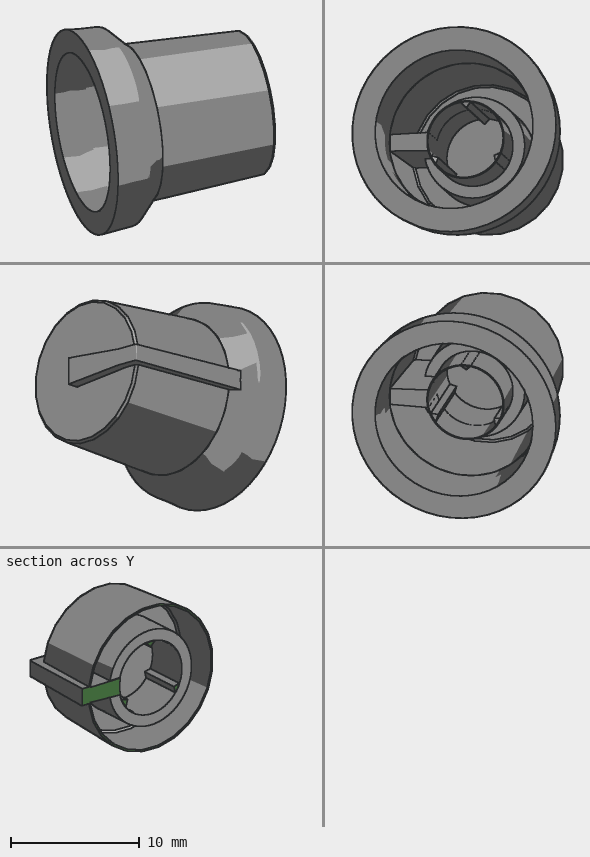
import cadquery as cq
import math


skirt_radius = 8.1
skirt_draft = math.radians(5)
skirt_corner_y = 2.7
skirt_corner_radius = skirt_radius - skirt_corner_y * math.tan(skirt_draft)
skirt_fillet = 0.4
corner_search = 0.1

flat_count = 24
body_start = 4.39
body_end = 13.94
body_apothem_start = 6.2
body_apothem_end = 5.65
body_cone_start = 6.235
body_edge_chamfer = 0.18
body_slope = (body_apothem_start - body_apothem_end) / (body_end - body_start)

mouth_radius = 6.27
mouth_depth = 2.48
throat_radius = 6.05
flutes_start = 4.25
floor_y = 11.2
wall = 0.185
cavity_cone_start = 6.045
floor_chamfer = 0.15
cavity_apothem_start = body_apothem_start - wall
cavity_apothem_floor = cavity_apothem_start - body_slope * (floor_y - flutes_start)

socket_start = 4.2
socket_end = floor_y
socket_outer_radius = 3.06
socket_bore_radius = 2.99
collar_radius = 3.99
collar_start = 7.5
key_angles = (90, 210, 330)
key_root_radius = 3.0
key_tip_radius = 2.57
key_start = 4.22
key_lead_in = 0.28

pointer_foot_x = -6.83
pointer_foot_y = 3.72
pointer_tip_x = -6.35
pointer_tip_y = 14.71
pointer_back_x = 0.85
pointer_top = 14.92
pointer_back_foot_x = 0.91
pointer_tip_fillet = 0.2
bar_half_width_foot = 0.77
bar_half_width_top = 0.65
arrow_start_x = -4.5
arrow_half_width = 1.07

web_outer_x = -6.0
web_inner_x = -2.7
web_outer_half_width = 0.65
web_inner_half_width = 0.73
web_slope = (pointer_top - pointer_tip_y) / (pointer_back_x - pointer_tip_x)


def cylinder(radius, start, end):
    return cq.Workplane("XZ", origin=(0, start, 0)).circle(radius).extrude(start - end)


def frustum(start_radius, start, end_radius, end):
    outline = [(0, start), (start_radius, start), (end_radius, end), (0, end)]
    return cq.Workplane("XY").polyline(outline).close().revolve(360, (0, 0, 0), (0, 1, 0))


def flat_sided_frustum(start_apothem, start, end_apothem, end):
    """Tapered regular prism along Y with one flat facing each of +X, -X, +Z and -Z."""
    half_pitch = 180 / flat_count
    corner_factor = 1 / math.cos(math.radians(half_pitch))
    prism = (
        cq.Workplane("XZ", origin=(0, start, 0))
        .polygon(flat_count, 2 * start_apothem * corner_factor)
        .workplane(offset=start - end)
        .polygon(flat_count, 2 * end_apothem * corner_factor)
        .loft(ruled=True)
    )
    return prism.rotate((0, 0, 0), (0, 1, 0), half_pitch)


def fluted_frustum(start_apothem, start_cone, start, end_apothem, end, chamfer):
    """Flat-sided frustum with cone-trimmed corners and a chamfered far end."""
    end_cone = end_apothem / math.cos(math.pi / flat_count)
    flats = flat_sided_frustum(start_apothem, start, end_apothem, end)
    rim_apothem = end_apothem - chamfer
    shoulder = flat_sided_frustum(rim_apothem + end - start, start, rim_apothem, end)
    cone = frustum(start_cone, start, end_cone, end)
    return flats.intersect(shoulder).intersect(cone)


def make_skirt():
    outline = [
        (0, 0),
        (skirt_radius, 0),
        (skirt_corner_radius, skirt_corner_y),
        (body_apothem_start, body_start),
        (0, body_start),
    ]
    skirt = cq.Workplane("XY").polyline(outline).close().revolve(360, (0, 0, 0), (0, 1, 0))
    corner = cq.selectors.BoxSelector(
        (-skirt_radius, skirt_corner_y - corner_search, -skirt_radius),
        (skirt_radius, skirt_corner_y + corner_search, skirt_radius),
    )
    return skirt.edges(corner).fillet(skirt_fillet)


def make_pointer():
    side = (
        cq.Workplane("XY", origin=(0, 0, -arrow_half_width))
        .moveTo(pointer_foot_x, pointer_foot_y)
        .lineTo(pointer_tip_x, pointer_tip_y)
        .lineTo(pointer_back_x, pointer_top)
        .lineTo(pointer_back_foot_x, body_end)
        .lineTo(pointer_back_foot_x, pointer_foot_y)
        .close()
        .extrude(2 * arrow_half_width)
    )
    tip = cq.selectors.NearestToPointSelector((pointer_tip_x, pointer_tip_y, 0))
    side = side.edges("|Z").edges(tip).fillet(pointer_tip_fillet)

    bar_length = abs(pointer_foot_x)
    bar = (
        cq.Workplane("XZ", origin=(-bar_length / 2, pointer_foot_y, 0))
        .rect(bar_length, 2 * bar_half_width_foot)
        .workplane(offset=pointer_foot_y - pointer_top)
        .rect(bar_length, 2 * bar_half_width_top)
        .loft(ruled=True)
    )
    arrow = (
        cq.Workplane("XZ", origin=(0, floor_y, 0))
        .moveTo(arrow_start_x, bar_half_width_top)
        .lineTo(pointer_back_foot_x, arrow_half_width)
        .lineTo(pointer_back_foot_x, -arrow_half_width)
        .lineTo(arrow_start_x, -bar_half_width_top)
        .close()
        .extrude(floor_y - pointer_top)
    )
    return bar.union(arrow).intersect(side)


def make_cavity():
    mouth = frustum(mouth_radius, 0, throat_radius, mouth_depth)
    throat = cylinder(throat_radius, mouth_depth, flutes_start)
    flutes = fluted_frustum(
        cavity_apothem_start, cavity_cone_start, flutes_start, cavity_apothem_floor, floor_y, floor_chamfer
    )
    return mouth.union(throat).union(flutes)


def make_key(angle):
    """V-shaped rib in the socket bore; its open end slopes back toward the tip."""
    half_width = key_root_radius - key_tip_radius
    key = (
        cq.Workplane("XZ", origin=(0, key_start, 0))
        .polyline([(key_tip_radius, 0), (key_root_radius, half_width), (key_root_radius, -half_width)])
        .close()
        .extrude(key_start - socket_end)
    )
    lead_in = (
        cq.Workplane("XY", origin=(0, 0, -half_width))
        .moveTo(key_tip_radius, key_start)
        .lineTo(key_root_radius, key_start)
        .lineTo(key_tip_radius, key_start + key_lead_in)
        .close()
        .extrude(2 * half_width)
    )
    return key.cut(lead_in).rotate((0, 0, 0), (0, 1, 0), -angle)


def make_socket():
    tube = cylinder(socket_outer_radius, socket_start, socket_end)
    socket = tube.union(cylinder(collar_radius, collar_start, socket_end))
    socket = socket.union(make_web())
    socket = socket.cut(cylinder(socket_bore_radius, socket_start, socket_end))
    for angle in key_angles:
        socket = socket.union(make_key(angle))
    return socket


def make_web():
    """Narrowing bar from the socket to the wall, its open face sloped like the pointer's top."""
    plan = (
        cq.Workplane("XZ", origin=(0, socket_start, 0))
        .moveTo(web_outer_x, web_outer_half_width)
        .lineTo(web_inner_x, web_inner_half_width)
        .lineTo(web_inner_x, -web_inner_half_width)
        .lineTo(web_outer_x, -web_outer_half_width)
        .close()
        .extrude(socket_start - socket_end)
    )
    inner_drop = web_slope * (web_inner_x - web_outer_x)
    side = (
        cq.Workplane("XY", origin=(0, 0, -web_inner_half_width))
        .moveTo(web_outer_x, flutes_start)
        .lineTo(web_inner_x, flutes_start + inner_drop)
        .lineTo(web_inner_x, socket_end)
        .lineTo(web_outer_x, socket_end)
        .close()
        .extrude(2 * web_inner_half_width)
    )
    return plan.intersect(side)


body = fluted_frustum(
    body_apothem_start, body_cone_start, body_start, body_apothem_end, body_end, body_edge_chamfer
)
shell = make_skirt().union(body).union(make_pointer()).cut(make_cavity())

result = shell.union(make_socket())